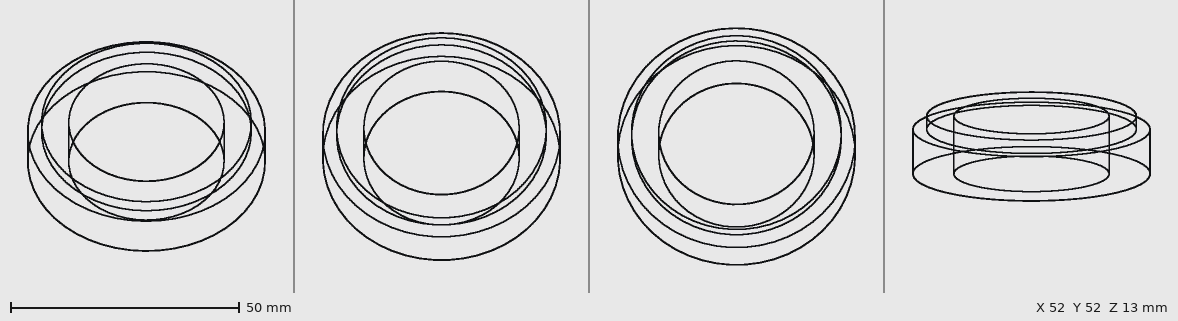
import cadquery as cq

outer_diameter = 52.0
shoulder_diameter = 45.9
bore_diameter = 34.0
total_height = 13.0
shoulder_height = 3.0
base_height = total_height - shoulder_height

base = cq.Workplane("XY").circle(outer_diameter / 2).extrude(base_height)
stepped_disc = base.faces(">Z").workplane().circle(shoulder_diameter / 2).extrude(shoulder_height)

bore = cq.Workplane("XY").circle(bore_diameter / 2).extrude(total_height)
result = stepped_disc.cut(bore)